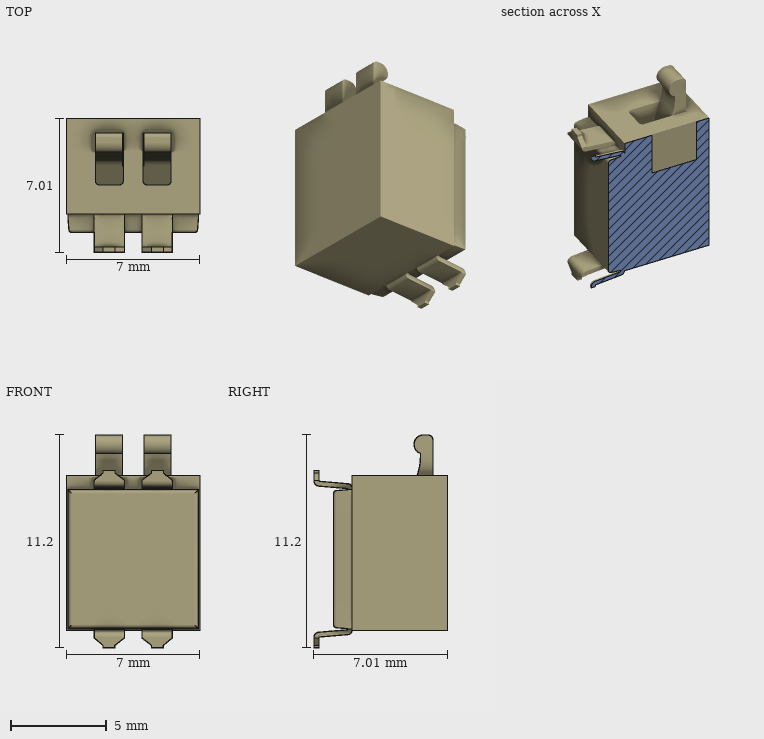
import cadquery as cq
import math


body_width = 7.0
body_depth = 5.01
body_height = 8.13

base_width = 6.84
base_bottom = 0.1
base_height = 7.285
base_top = base_bottom + base_height
base_mid = base_bottom + base_height / 2
base_step = 0.23
base_projection = 0.97
base_draft = 4.5
base_rim_radius = 0.17

switch_pitch = 2.5
slot_width = 1.46
slot_length = 2.715
slot_depth = 2.4
slot_corner_radius = 0.2
slot_back = body_depth - 0.765

lever_width = 1.42
lever_rise = 2.12
lever_top = body_height + lever_rise
lever_offset = switch_pitch / 2 + (slot_width - lever_width) / 2
head_radius = 0.5
head_back_radius = 0.27
neck_thickness = 0.67
neck_bend_start = 1.21
neck_bend_end = 1.84
neck_slope = math.radians(15.6)
foot_radius = 0.275

lead_width = 1.6
lead_thickness = 0.265
lead_slope = math.radians(4.9)
lead_reach = 2.0
lead_rise = 1.0
lead_root_height = 0.293
lead_root_radius = 0.22
lead_bend_radius = 0.29
tip_thickness = 0.28
tip_width = 0.63
tip_length = 0.13
tip_taper_end = 0.52


def block(width, depth, height, x_mid, y_min, z_min):
    """Box centred on x_mid, with its other two lower limits given."""
    return cq.Workplane("XY").box(width, depth, height, centered=(True, False, False)).translate(
        (x_mid, y_min, z_min)
    )


def make_base():
    step = block(base_width, base_step, base_height, 0, -base_step, base_bottom)
    drafted = (
        cq.Workplane("XZ", origin=(0, -base_step, base_mid))
        .rect(base_width, base_height)
        .extrude(base_projection - base_step, taper=base_draft)
        .faces("<Y")
        .edges()
        .fillet(base_rim_radius)
    )
    return step.union(drafted)


def make_slot(x_mid):
    slot = block(
        slot_width, slot_length, slot_depth, x_mid, slot_back - slot_length, body_height - slot_depth
    )
    return slot.edges("|Z and <Y").fillet(slot_corner_radius)


def make_lever(x_mid):
    """Lever with a round head, a bent neck and a curved foot that runs into the slot floor."""
    head_y = slot_back - head_radius
    head_z = lever_top - head_radius
    neck_y = slot_back - neck_thickness
    neck_top_z = head_z - math.sqrt(head_radius**2 - (head_y - neck_y) ** 2)

    bend_start_z = lever_top - neck_bend_start
    bend_end_z = lever_top - neck_bend_end
    bend_radius = (bend_start_z - bend_end_z) / math.sin(neck_slope)

    def bend_point(angle):
        y = neck_y - bend_radius * (1 - math.cos(angle))
        return (y, bend_start_z - bend_radius * math.sin(angle))

    bend_end = bend_point(neck_slope)
    floor_z = body_height - slot_depth
    foot_z = floor_z + foot_radius
    slope_end_z = foot_z - foot_radius * math.sin(neck_slope)
    slope_end_y = bend_end[0] - (bend_end[1] - slope_end_z) * math.tan(neck_slope)
    foot_y = slope_end_y - foot_radius * math.cos(neck_slope)
    foot_mid_angle = (neck_slope + math.pi / 2) / 2
    foot_mid = (
        foot_y + foot_radius * math.cos(foot_mid_angle),
        foot_z - foot_radius * math.sin(foot_mid_angle),
    )

    back_round = head_back_radius * (1 - math.sqrt(0.5))
    profile = (
        cq.Workplane("YZ", origin=(x_mid - lever_width / 2, 0, 0))
        .moveTo(slot_back, floor_z)
        .lineTo(slot_back, lever_top - head_back_radius)
        .threePointArc(
            (slot_back - back_round, lever_top - back_round),
            (slot_back - head_back_radius, lever_top),
        )
        .lineTo(head_y, lever_top)
        .threePointArc((head_y - head_radius, head_z), (neck_y, neck_top_z))
        .lineTo(neck_y, bend_start_z)
        .threePointArc(bend_point(neck_slope / 2), bend_end)
        .lineTo(slope_end_y, slope_end_z)
        .threePointArc(foot_mid, (foot_y, floor_z))
        .close()
    )
    return profile.extrude(lever_width)


def make_lead(x_mid, tip_x):
    """Upper lead: a sloped strip bent up into a narrowed tip."""
    tip_z = base_top + lead_rise
    tip_back_y = tip_thickness - lead_reach

    def upper_z(y):
        return base_top + lead_root_height - y * math.tan(lead_slope)

    def lower_z(y):
        return upper_z(y) - lead_thickness / math.cos(lead_slope)

    strip = (
        cq.Workplane("YZ", origin=(x_mid - lead_width / 2, 0, 0))
        .polyline(
            [
                (0, base_top),
                (0, upper_z(0)),
                (tip_back_y, upper_z(tip_back_y)),
                (tip_back_y, tip_z),
                (-lead_reach, tip_z),
                (-lead_reach, lower_z(-lead_reach)),
                (-base_step, lower_z(-base_step)),
                (-base_step, base_top),
            ]
        )
        .close()
        .extrude(lead_width)
    )
    strip = strip.edges(cq.NearestToPointSelector((x_mid, 0, upper_z(0)))).fillet(lead_root_radius)
    bend_corner = (x_mid, -lead_reach, lower_z(-lead_reach))
    strip = strip.edges(cq.NearestToPointSelector(bend_corner)).fillet(lead_bend_radius)

    half_lead = lead_width / 2
    tip_left = tip_x - x_mid - tip_width / 2
    tip_right = tip_left + tip_width
    outline = (
        cq.Workplane("XZ", origin=(x_mid, 0, 0))
        .polyline(
            [
                (-half_lead, base_top),
                (-half_lead, tip_z - tip_taper_end),
                (tip_left, tip_z - tip_length),
                (tip_left, tip_z),
                (tip_right, tip_z),
                (tip_right, tip_z - tip_length),
                (half_lead, tip_z - tip_taper_end),
                (half_lead, base_top),
            ]
        )
        .close()
        .extrude(lead_reach)
    )
    return strip.intersect(outline)


result = block(body_width, body_depth, body_height, 0, 0, 0).union(make_base())
for side in (-1, 1):
    switch_x = side * switch_pitch / 2
    lever_x = side * lever_offset
    upper_lead = make_lead(switch_x, lever_x)
    lower_lead = upper_lead.mirror("XY", (0, 0, base_mid))
    result = result.cut(make_slot(switch_x)).union(make_lever(lever_x))
    result = result.union(upper_lead).union(lower_lead)